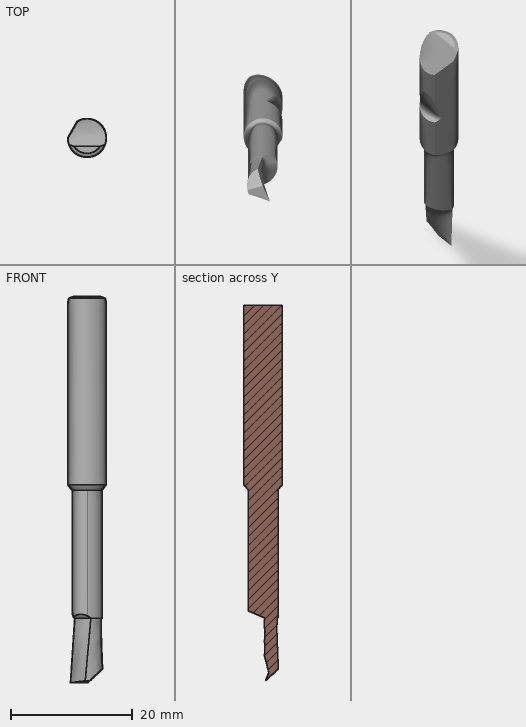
import cadquery as cq
import math

TOTAL_LENGTH = 63.5
SHANK_BOTTOM = 32.5
NECK_TOP = 31.6
BLADE_TOP = 10.6

SHANK_RADIUS = 3.2
NECK_RADIUS = 2.4
NECK_EDGE_RADIUS = 2.55
NECK_FLATTENED_RADIUS = 2.4
TOP_CHAMFER_WIDTH = 0.65
TOP_CHAMFER_HEIGHT = 0.3

FLAT_ANGLE = 150
FLAT_DISTANCE = SHANK_RADIUS * math.sqrt(3) / 2
BEVEL_BOTTOM = 58.9
NOTCH_TOP = 52.1
NOTCH_DEEP_Z = 44.65
NOTCH_FLOOR_Y = 1.9
NOTCH_ROUND_END = (2.55, 43.55)
NOTCH_ROUND_MID = (2.05, 43.95)
NOTCH_BOTTOM = 43.3

UPPER_CORNERS = ((-2.05, -1.1), (0.65, -2.4), (2.2, 0.95))
UPPER_ARC_MID = (1.85, -1.45)
LOWER_CORNERS = ((-2.7, 0), (-0.3, -2.65), (2.65, 0))
LOWER_ARC_MID = (1.8, -2.0)

TIP_RELIEF_RISE = 0.3
TIP_BEVEL_START_X = 0.1
TIP_BEVEL_ANGLE = 43

CUTTER = 19.05


def make_shank():
    """Turned shank with a cone down to the neck."""
    profile = [
        (0, NECK_TOP),
        (NECK_RADIUS, NECK_TOP),
        (SHANK_RADIUS, SHANK_BOTTOM),
        (SHANK_RADIUS, TOTAL_LENGTH - TOP_CHAMFER_HEIGHT),
        (SHANK_RADIUS - TOP_CHAMFER_WIDTH, TOTAL_LENGTH),
        (0, TOTAL_LENGTH),
    ]
    return cq.Workplane("XZ").polyline(profile).close().revolve(360, (0, 0), (0, 1))


def make_neck():
    """Round neck whose +X, -Y quarter is a slightly flatter arc."""
    middle = NECK_FLATTENED_RADIUS / math.sqrt(2)
    round_middle = NECK_RADIUS / math.sqrt(2)
    return (
        cq.Workplane("XY", origin=(0, 0, BLADE_TOP))
        .moveTo(0, -NECK_EDGE_RADIUS)
        .threePointArc((middle, -middle), (NECK_EDGE_RADIUS, 0))
        .threePointArc((-round_middle, round_middle), (0, -NECK_EDGE_RADIUS))
        .close()
        .extrude(NECK_TOP - BLADE_TOP)
    )


def make_flat():
    """Block beyond the side flat of the shank."""
    return (
        cq.Workplane("XY")
        .box(CUTTER, CUTTER, TOTAL_LENGTH - NECK_TOP, centered=(False, True, False))
        .translate((FLAT_DISTANCE, 0, NECK_TOP))
        .rotate((0, 0, 0), (0, 0, 1), FLAT_ANGLE)
    )


def make_top_bevel():
    """45 degree bevel rising from the +Y side of the shank."""
    triangle = [
        (SHANK_RADIUS, BEVEL_BOTTOM),
        (SHANK_RADIUS, BEVEL_BOTTOM + CUTTER),
        (SHANK_RADIUS - CUTTER, BEVEL_BOTTOM + CUTTER),
    ]
    return cq.Workplane("YZ").polyline(triangle).close().extrude(CUTTER / 2, both=True)


def make_notch():
    """Clamping notch with a sloped floor and a rounded lower end."""
    return (
        cq.Workplane("YZ")
        .moveTo(SHANK_RADIUS, NOTCH_TOP)
        .lineTo(NOTCH_FLOOR_Y, NOTCH_DEEP_Z)
        .threePointArc(NOTCH_ROUND_MID, NOTCH_ROUND_END)
        .lineTo(SHANK_RADIUS, NOTCH_BOTTOM)
        .close()
        .extrude(CUTTER / 2, both=True)
    )


def make_neck_bevel(start, end):
    """45 degree bevel rising outward from a blade edge; outside is right of start to end."""
    direction = cq.Vector(end[0] - start[0], end[1] - start[1], 0)
    plane = cq.Plane(origin=(*start, BLADE_TOP), xDir=direction.cross(cq.Vector(0, 0, 1)), normal=direction)
    width = 2 * NECK_RADIUS
    triangle = [(0, 0), (width, 0), (width, -width)]
    return cq.Workplane(plane).polyline(triangle).close().extrude(CUTTER / 2, both=True)


def blade_section(z, corners, arc_mid):
    """Closed blade outline with an arc along the +X, -Y side."""
    cutting, front, back = corners
    return (
        cq.Workplane("XY", origin=(0, 0, z))
        .moveTo(*cutting)
        .lineTo(*front)
        .threePointArc(arc_mid, back)
        .close()
        .wire()
        .val()
    )


def make_blade():
    """Twisted blade with a sloped end and a bevelled trailing corner."""
    upper = blade_section(BLADE_TOP, UPPER_CORNERS, UPPER_ARC_MID)
    lower = blade_section(0, LOWER_CORNERS, LOWER_ARC_MID)
    blade = cq.Workplane(cq.Solid.makeLoft([lower, upper], True))

    front_y = LOWER_CORNERS[1][1]
    relief_y = 2 * front_y
    relief_outline = [(0, 0), (relief_y, 2 * TIP_RELIEF_RISE), (relief_y, 0)]
    relief = cq.Workplane("YZ").polyline(relief_outline).close().extrude(CUTTER / 2, both=True)

    bevel_width = NECK_RADIUS * 2
    bevel_rise = bevel_width * math.tan(math.radians(TIP_BEVEL_ANGLE))
    bevel_end_x = TIP_BEVEL_START_X + bevel_width
    bevel_outline = [(TIP_BEVEL_START_X, 0), (bevel_end_x, bevel_rise), (bevel_end_x, 0)]
    bevel = cq.Workplane("XZ").polyline(bevel_outline).close().extrude(CUTTER / 2, both=True)
    return blade.cut(relief).cut(bevel)


shank = make_shank().cut(make_flat()).cut(make_top_bevel()).cut(make_notch())
cutting_corner, front_corner, back_corner = UPPER_CORNERS
neck = make_neck().cut(make_neck_bevel(cutting_corner, front_corner))
neck = neck.cut(make_neck_bevel(back_corner, cutting_corner))
result = shank.union(neck).union(make_blade())